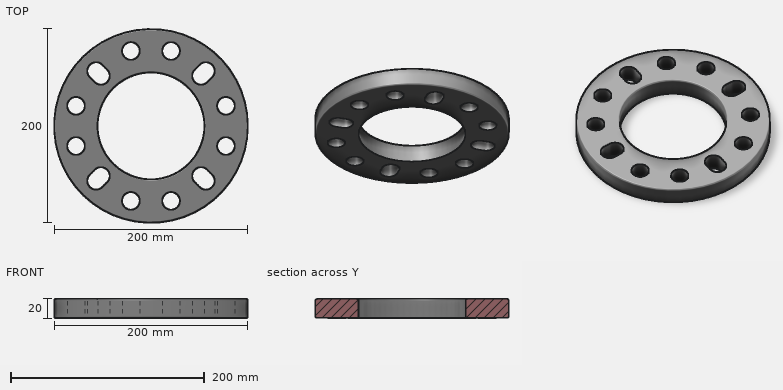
import cadquery as cq
import math

outer_diameter = 200.0
bore_diameter = 110.0
thickness = 20.0
edge_radius = 2.0

hole_diameter = 18.0
bolt_circle_radius = 80.0
slot_inner_radius = 73.0
quadrant_count = 4
quadrant_angle = 360.0 / quadrant_count
slot_angle = 45.0
hole_angles = (15.0, 75.0)


def bottom_plane():
    """Workplane on the underside of the ring."""
    return cq.Workplane("XY").workplane(offset=-thickness / 2)


def make_ring():
    """Flat ring, centred on the origin: outer rims rounded, bore rounded at the top only."""
    disc = (
        bottom_plane()
        .circle(outer_diameter / 2)
        .extrude(thickness)
        .edges()
        .fillet(edge_radius)
    )
    bore = bottom_plane().circle(bore_diameter / 2).extrude(thickness)
    ring = disc.cut(bore)
    bore_top_edge = ring.faces(">Z").edges(cq.selectors.RadiusNthSelector(0))
    return bore_top_edge.fillet(edge_radius)


def cut_round_hole(body, angle):
    """Through hole on the bolt circle at the given angle."""
    x = bolt_circle_radius * math.cos(math.radians(angle))
    y = bolt_circle_radius * math.sin(math.radians(angle))
    cutter = bottom_plane().center(x, y).circle(hole_diameter / 2).extrude(thickness)
    return body.cut(cutter)


def cut_radial_slot(body, angle):
    """Through slot lying along a radius, running inwards from the bolt circle."""
    centre_distance = bolt_circle_radius - slot_inner_radius
    middle_radius = (bolt_circle_radius + slot_inner_radius) / 2
    cutter = (
        bottom_plane()
        .center(middle_radius, 0)
        .slot2D(centre_distance + hole_diameter, hole_diameter)
        .extrude(thickness)
        .rotate((0, 0, 0), (0, 0, 1), angle)
    )
    return body.cut(cutter)


result = make_ring()
for quadrant in range(quadrant_count):
    quadrant_start = quadrant * quadrant_angle
    result = cut_radial_slot(result, quadrant_start + slot_angle)
    for hole_angle in hole_angles:
        result = cut_round_hole(result, quadrant_start + hole_angle)